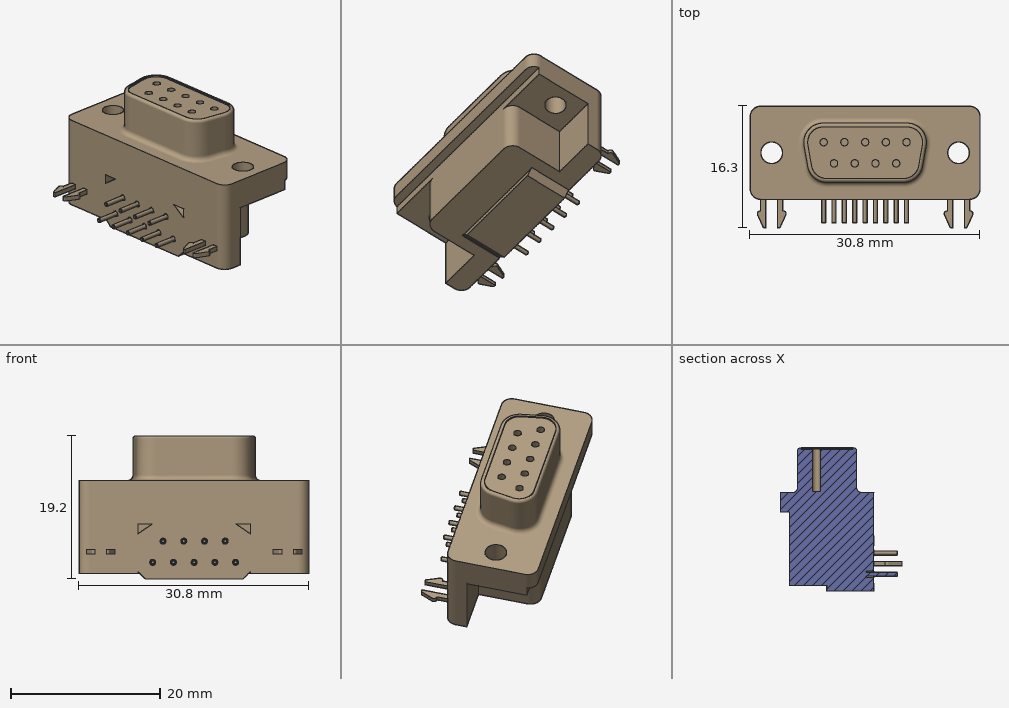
import cadquery as cq
import math


body_length = 30.8
body_width = 12.5
body_height = 12.48
corner_radius = 1.45
mount_hole_spacing = 25.02
mount_hole_diameter = 2.85
front_y = -body_width / 2

back_ledge_depth = 2.65
back_y = 5.05
side_ledge_depth = 4.05
side_wall_y = -3.27
core_length = 18.5
core_corner_radius = 1.55

shell_height = 5.98
shell_width = 7.95
shell_middle_length = 16.02
shell_side_angle = 10.0
shell_corner_radius = 2.6
shell_foot_radius = 0.68
shell_rim_radius = 0.4
rim_width = 0.52
rim_step = 0.2

contact_pitch = 2.77
row_spacing = 2.83
long_row_count = 5
short_row_count = 4
socket_diameter = 1.0
socket_depth = 5.85

carrier_length = 15.05
carrier_top_z = -5.85
carrier_drop = 0.75
carrier_depth = 6.32
carrier_top_chamfer_x = 1.88
carrier_top_chamfer_z = 1.3
carrier_bottom_chamfer = 1.0

pin_diameter = 0.6
pin_length = 3.17
pin_tip_chamfer = 0.1
pin_middle_z = -9.55
pin_recess_diameter = 0.8
pin_recess_depth = 1.0

prong_length = 3.8
prong_thickness = 0.62
prong_root = 0.92
prong_inner_x = 0.77
prong_outer_x = 1.5
hook_start = 1.5
hook_corner_x = 2.15
hook_radius = 0.4
prong_tip_x = 1.1
prong_tip_radius = 0.15

foot_tolerance = 0.03

overlap = 0.3


def box(x_range, y_range, z_range):
    """Block between two limits along each axis."""
    x0, x1 = x_range
    y0, y1 = y_range
    z0, z1 = z_range
    return cq.Workplane("XY").box(x1 - x0, y1 - y0, z1 - z0, centered=False).translate((x0, y0, z0))


def row_positions(count):
    """X positions of a contact row centred on the part."""
    return [(i - (count - 1) / 2) * contact_pitch for i in range(count)]


def d_outline(inset, z):
    """Workplane at z with the rounded D outline of the shell, moved inwards by inset."""
    slope = math.tan(math.radians(shell_side_angle))
    half_width = shell_width / 2 - inset
    half_middle = shell_middle_length / 2 - inset / math.cos(math.radians(shell_side_angle))
    half_back = half_middle + half_width * slope
    half_front = half_middle - half_width * slope
    corners = [
        (-half_front, -half_width),
        (half_front, -half_width),
        (half_back, half_width),
        (-half_back, half_width),
    ]
    sketch = cq.Sketch().polygon(corners + corners[:1]).vertices().fillet(shell_corner_radius - inset)
    return cq.Workplane("XY").workplane(offset=z).placeSketch(sketch)


def make_housing():
    """Rounded block, stepped in at the back and at both rear sides."""
    block = (
        cq.Workplane("XY").rect(body_length, body_width).extrude(-body_height)
        .edges("|Z").fillet(corner_radius)
    )
    back_step = box(
        (-body_length, body_length), (back_y, body_width), (-body_height - overlap, -back_ledge_depth)
    )
    rear = box(
        (-body_length, body_length), (side_wall_y, body_width), (-body_height - overlap, -side_ledge_depth)
    )
    core = box(
        (-core_length / 2, core_length / 2),
        (side_wall_y - overlap, back_y),
        (-body_height, -side_ledge_depth),
    )
    core = core.edges("|Z and >Y").fillet(core_corner_radius)
    return block.cut(back_step).cut(rear).union(core)


def add_shell(housing):
    """Shell with a flared foot, a rounded rim and a slightly sunken contact face."""
    shell = d_outline(0, -overlap).extrude(shell_height + overlap)
    shell = shell.faces(">Z").edges().fillet(shell_rim_radius)
    part = housing.union(shell)
    reach_x = shell_middle_length / 2 + shell_foot_radius
    reach_y = shell_width / 2 + shell_foot_radius
    foot_edges = cq.selectors.BoxSelector(
        (-reach_x, -reach_y, -foot_tolerance), (reach_x, reach_y, foot_tolerance)
    )
    part = part.edges(foot_edges).fillet(shell_foot_radius)
    sunken_face = d_outline(rim_width, shell_height - rim_step).extrude(overlap)
    return part.cut(sunken_face)


def make_mount_holes():
    """Holes through the full height at both ends of the flange."""
    return (
        cq.Workplane("XY").workplane(offset=overlap)
        .pushPoints([(-mount_hole_spacing / 2, 0), (mount_hole_spacing / 2, 0)])
        .circle(mount_hole_diameter / 2).extrude(-body_height - 2 * overlap)
    )


def make_sockets():
    """Blind contact holes in the mating face."""
    long_row = [(x, row_spacing / 2) for x in row_positions(long_row_count)]
    short_row = [(x, -row_spacing / 2) for x in row_positions(short_row_count)]
    return (
        cq.Workplane("XY").workplane(offset=shell_height)
        .pushPoints(long_row + short_row)
        .circle(socket_diameter / 2).extrude(-socket_depth)
    )


def make_carrier_bay():
    """Rectangular opening in the housing that takes the pin carrier."""
    return box(
        (-carrier_length / 2, carrier_length / 2),
        (front_y - overlap, front_y + carrier_depth),
        (-body_height - overlap, carrier_top_z),
    )


def make_carrier():
    """Eight-sided block that closes the bay and hangs below the housing."""
    half = carrier_length / 2
    bottom_z = -body_height - carrier_drop
    right_side = [
        (half - carrier_bottom_chamfer, bottom_z),
        (half, bottom_z + carrier_bottom_chamfer),
        (half, carrier_top_z - carrier_top_chamfer_z),
        (half - carrier_top_chamfer_x, carrier_top_z),
    ]
    left_side = [(-x, z) for x, z in reversed(right_side)]
    return (
        cq.Workplane("XZ", origin=(0, front_y, 0))
        .polyline(right_side + left_side).close().extrude(-carrier_depth)
    )


def pin_points():
    """X and Z of every board pin."""
    upper_row = [(x, pin_middle_z + row_spacing / 2) for x in row_positions(short_row_count)]
    lower_row = [(x, pin_middle_z - row_spacing / 2) for x in row_positions(long_row_count)]
    return upper_row + lower_row


def make_pin_recesses():
    """Round clearance around each pin in the carrier front."""
    return (
        cq.Workplane("XZ", origin=(0, front_y, 0))
        .pushPoints(pin_points()).circle(pin_recess_diameter / 2).extrude(-pin_recess_depth)
    )


def make_pins():
    """Round pins with chamfered tips, rooted behind the recesses."""
    root_y = front_y + pin_recess_depth + overlap
    return (
        cq.Workplane("XZ", origin=(0, root_y, 0))
        .pushPoints(pin_points()).circle(pin_diameter / 2).extrude(root_y - front_y + pin_length)
        .faces("<Y").edges().chamfer(pin_tip_chamfer)
    )


def make_prong(hole_x, side):
    """One barbed prong; side is -1 or 1 for the left or right one of a pair."""
    profile = [
        (prong_inner_x, prong_root),
        (prong_inner_x, -prong_length),
        (prong_tip_x, -prong_length),
        (hook_corner_x, -hook_start),
        (prong_outer_x, -hook_start),
        (prong_outer_x, prong_root),
    ]
    points = [(hole_x + side * x, front_y + y) for x, y in profile]
    prong = (
        cq.Workplane("XY", origin=(0, 0, pin_middle_z - prong_thickness / 2))
        .polyline(points).close().extrude(prong_thickness)
    )
    outer_edge = ">X" if side > 0 else "<X"
    prong = prong.edges("|Z").edges(outer_edge).fillet(hook_radius)
    return prong.faces("<Y").edges("|Z").edges(outer_edge).fillet(prong_tip_radius)


result = add_shell(make_housing())
result = result.cut(make_mount_holes()).cut(make_sockets())
result = result.cut(make_carrier_bay()).union(make_carrier())
result = result.cut(make_pin_recesses()).union(make_pins())
for hole_x in (-mount_hole_spacing / 2, mount_hole_spacing / 2):
    for side in (-1, 1):
        result = result.union(make_prong(hole_x, side))